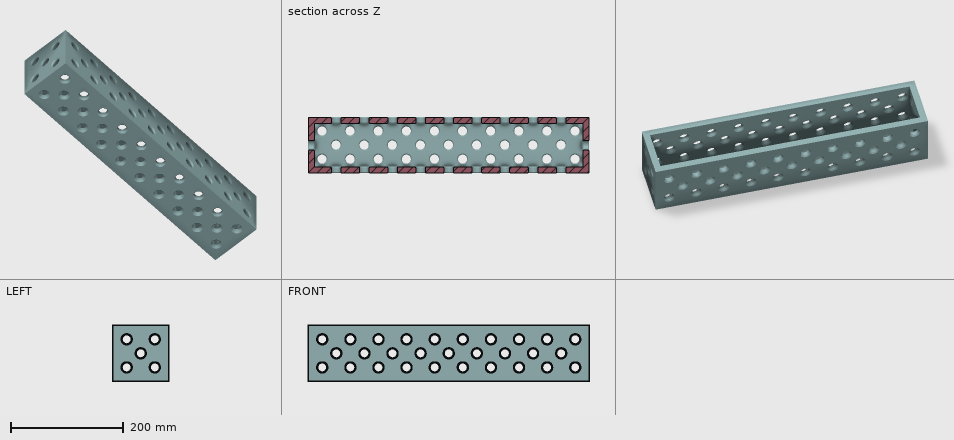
import cadquery as cq

length = 500.0
width = 100.0
height = 100.0
wall = 12.0

pitch = 50.0
bore_diameter = 16.0
bore_chamfer = 2.0


def staggered_points(panel_length, panel_width):
    """Centres on a square grid, plus one in the middle of each grid cell."""
    columns = round(panel_length / pitch)
    rows = round(panel_width / pitch)
    points = []
    for column_count, row_count in ((columns, rows), (columns - 1, rows - 1)):
        for column in range(column_count):
            for row in range(row_count):
                u = (column - (column_count - 1) / 2) * pitch
                v = (row - (row_count - 1) / 2) * pitch
                points.append((u, v))
    return points


def make_box():
    """Box centred on the origin, hollowed out from the top."""
    cavity_length = length - 2 * wall
    cavity_width = width - 2 * wall
    cavity = (
        cq.Workplane("XY")
        .workplane(offset=wall - height / 2)
        .rect(cavity_length, cavity_width)
        .extrude(height - wall)
    )
    return cq.Workplane("XY").box(length, width, height).cut(cavity)


def bore_cutter():
    """Tool for one bore through a wall, from z = 0 to z = wall, chamfered at both ends."""
    bore_radius = bore_diameter / 2
    mouth_radius = bore_radius + bore_chamfer
    profile = [
        (0, 0),
        (mouth_radius, 0),
        (bore_radius, bore_chamfer),
        (bore_radius, wall - bore_chamfer),
        (mouth_radius, wall),
        (0, wall),
    ]
    axis_start = (0, 0)
    axis_end = (0, 1)
    tool = cq.Workplane("XZ").polyline(profile).close().revolve(360, axis_start, axis_end)
    return tool.val()


def panel_bores(outward, along, distance, panel_length, panel_width):
    """Bores of the panel whose outer face lies at the given distance along the outward direction."""
    origin = tuple(distance * component for component in outward)
    inward = tuple(-component for component in outward)
    panel = cq.Location(cq.Plane(origin=origin, xDir=along, normal=inward))
    cutter = bore_cutter()
    return [
        cutter.moved(panel * cq.Location(cq.Vector(u, v, 0)))
        for u, v in staggered_points(panel_length, panel_width)
    ]


x_direction = (1, 0, 0)
y_direction = (0, 1, 0)

bores = panel_bores((0, 0, -1), x_direction, height / 2, length, width)

for side in (-1, 1):
    bores += panel_bores((0, side, 0), x_direction, width / 2, length, height)
    bores += panel_bores((side, 0, 0), y_direction, length / 2, width, height)

drilled_box = make_box().val().cut(*bores)
result = cq.Workplane(drilled_box.Solids()[0])